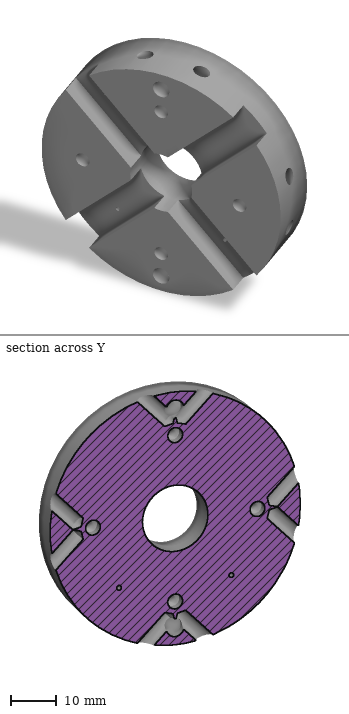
import cadquery as cq
import math

outer_diameter = 58.0
thickness = 13.0
bore_diameter = 15.0

slot_width = 8.0
slot_depth = 5.0
slot_angles = (45, 135)

tap_core_diameter = 3.3
tap_depth = 8.0
drill_point_angle = 118.0
face_tap_radius = 19.0

rim_tap_offset = 15.0
rim_tap_setback = 6.0

pin_diameter = 4.0
pin_depth = 8.0
pin_radius = 25.0

vent_diameter = 1.0
vent_x = 13.0
vent_z = -14.45

outer_radius = outer_diameter / 2
inward = cq.Vector(0, 1, 0)


def front_cylinder(x, z, diameter, depth):
    """Cylinder running from the front face into the disc."""
    return cq.Solid.makeCylinder(diameter / 2, depth, cq.Vector(x, 0, z), inward)


def drilled_hole(start, direction, straight_length):
    """Tapping-size hole: a cylinder ending in a conical drill point."""
    radius = tap_core_diameter / 2
    point_length = radius / math.tan(math.radians(drill_point_angle / 2))
    tip_base = start + direction * straight_length
    straight = cq.Solid.makeCylinder(radius, straight_length, start, direction)
    tip = cq.Solid.makeCone(radius, 0, point_length, tip_base, direction)
    return straight.fuse(tip)


def slot_cutter(angle):
    """Straight open-ended slot across the full front face, turned about the disc axis."""
    overlong = outer_diameter + slot_width
    bar = cq.Workplane("XY").box(overlong, slot_depth, slot_width)
    bar = bar.translate((0, slot_depth / 2, 0))
    return bar.rotate((0, 0, 0), (0, 1, 0), angle)


def rim_tap(angle, side):
    """Rim hole parallel to a slot arm and offset to one side of it."""
    turn = math.radians(angle)
    arm = cq.Vector(math.cos(turn), 0, math.sin(turn))
    across = cq.Vector(-math.sin(turn), 0, math.cos(turn))
    half_chord = math.sqrt(outer_radius**2 - rim_tap_offset**2)
    clearance = tap_core_diameter
    start = (
        across * (side * rim_tap_offset)
        + arm * (half_chord + clearance)
        + inward * rim_tap_setback
    )
    return drilled_hole(start, arm * -1, tap_depth + clearance)


disc = cq.Workplane("XZ").circle(outer_radius).circle(bore_diameter / 2).extrude(-thickness)

for slot_angle in slot_angles:
    disc = disc.cut(slot_cutter(slot_angle))

for quarter in range(4):
    face_angle = math.radians(90 * quarter)
    face_start = cq.Vector(math.cos(face_angle), 0, math.sin(face_angle)) * face_tap_radius
    disc = disc.cut(cq.Workplane(drilled_hole(face_start, inward, tap_depth)))
    for arm_side in (-1, 1):
        disc = disc.cut(cq.Workplane(rim_tap(45 + 90 * quarter, arm_side)))

for pin_z in (-pin_radius, pin_radius):
    disc = disc.cut(cq.Workplane(front_cylinder(0, pin_z, pin_diameter, pin_depth)))

for hole_x in (-vent_x, vent_x):
    disc = disc.cut(cq.Workplane(front_cylinder(hole_x, vent_z, vent_diameter, thickness)))

result = disc